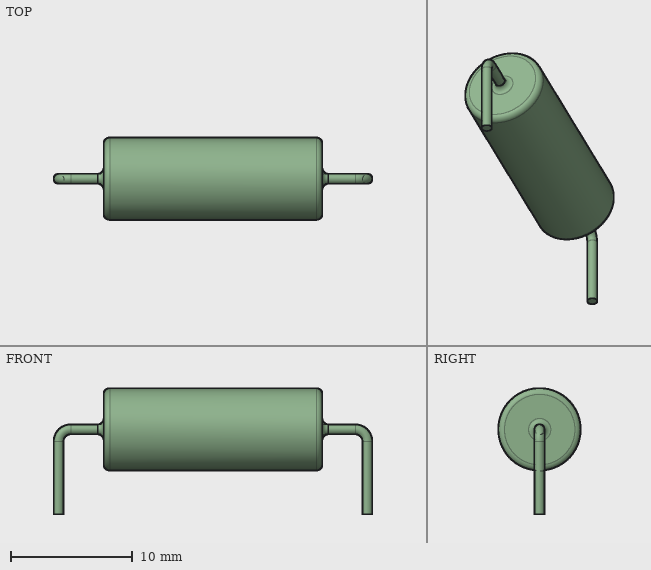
import cadquery as cq

body_diameter = 6.8
body_length = 18.0
rim_radius = 0.5
lead_diameter = 0.83
lead_pitch = 25.4
bend_radius = 1.0
collar_radius = 0.5
axis_height = 7.0

body_radius = body_diameter / 2
lead_radius = lead_diameter / 2
half_length = body_length / 2
collar_end = half_length + collar_radius
leg_x = lead_pitch / 2


def make_body():
    """Rounded cylinder with a flared collar and a lead socket at each end."""
    cylinder = (
        cq.Workplane("YZ", origin=(-half_length, 0, axis_height))
        .circle(body_radius)
        .extrude(body_length)
        .edges()
        .fillet(rim_radius)
    )
    collar = (
        cq.Workplane("XZ", origin=(0, 0, axis_height))
        .moveTo(half_length, 0)
        .lineTo(half_length, lead_radius + collar_radius)
        .radiusArc((collar_end, lead_radius), -collar_radius)
        .lineTo(collar_end, 0)
        .close()
        .revolve(360, (0, 0, 0), (1, 0, 0))
    )
    socket = (
        cq.Workplane("YZ", origin=(half_length, 0, axis_height))
        .circle(lead_radius)
        .extrude(collar_radius)
    )
    flare = collar.cut(socket)
    return cylinder.union(flare).union(flare.mirror("YZ")).solids()


def make_lead(side):
    """Lead from the body's end face, bent down; side is +1 or -1 along X."""
    bend_start = leg_x - bend_radius
    path = (
        cq.Workplane("XZ")
        .moveTo(side * half_length, axis_height)
        .lineTo(side * bend_start, axis_height)
        .tangentArcPoint((side * leg_x, axis_height - bend_radius), relative=False)
        .lineTo(side * leg_x, 0)
    )
    return (
        cq.Workplane("YZ", origin=(side * half_length, 0, axis_height))
        .circle(lead_radius)
        .sweep(path)
    )


body = make_body()
leads = [make_lead(side) for side in (-1, 1)]

result = cq.Compound.makeCompound([body.val(), *[lead.val() for lead in leads]])